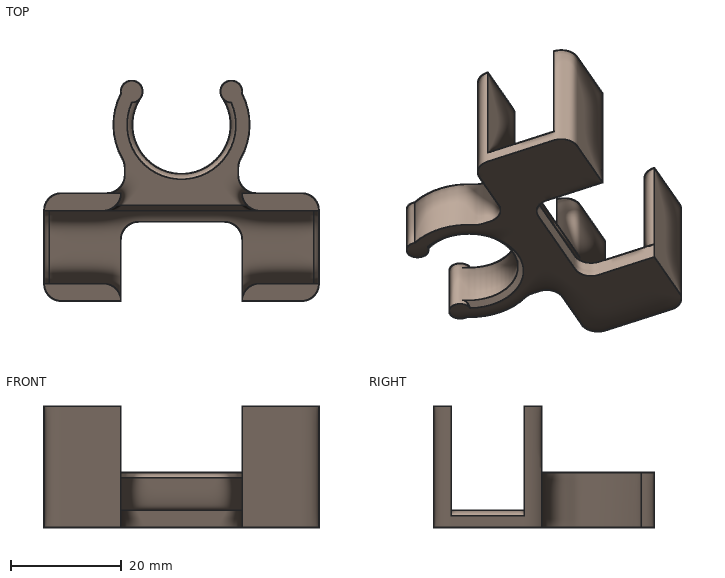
import cadquery as cq
import math

length = 49.8
depth = 19.55
overall_depth = 39.95
height = 22.0
wall = 3.2
corner_radius = 3.2
post_end_flat = 0.005
floor_height = 3.2
edge_chamfer = 1.0
slot_width = 21.9
slot_depth = 14.35

clip_height = 10.0
ring_y = 31.9
inner_radius = 8.85
outer_radius = 12.35
tip_radius = 2.0
tip_x = 9.0
tip_y = overall_depth - tip_radius
neck_width = 20.6


def block(x_size, y_size, z_size, x_min, y_min):
    """Box standing on Z = 0 with the given lower corner."""
    return cq.Workplane("XY").box(x_size, y_size, z_size, centered=False).translate((x_min, y_min, 0))


def make_floor():
    """U-shaped floor with chamfered ends and a rounded front slot."""
    floor = block(length, depth, floor_height, -length / 2, 0)
    floor = floor.faces(">Z").edges("|Y").chamfer(edge_chamfer)
    slot = block(slot_width, slot_depth, floor_height, -slot_width / 2, 0)
    return floor.cut(slot.edges("|Z and >Y").fillet(corner_radius))


def make_back_bar():
    """Low bar between the rear walls, chamfered along its front top edge."""
    bar = block(slot_width + 2 * corner_radius, wall, clip_height,
                -slot_width / 2 - corner_radius, depth - wall)
    return bar.faces(">Z").edges("<Y").chamfer(edge_chamfer)


def make_post(side, y_min, inner_face):
    """Upright wall whose slot end is rounded toward the cradle interior."""
    post_length = (length - slot_width) / 2
    x_min = slot_width / 2 if side > 0 else -length / 2
    post = block(post_length, wall, height, x_min, y_min)
    slot_end = "<X" if side > 0 else ">X"
    end_radius = wall - post_end_flat
    return post.edges(f"|Z and {slot_end} and {inner_face}").fillet(end_radius)


def make_clip():
    """Open ring on a filleted neck, with a round bead on each arm tip."""
    clip = cq.Workplane("XY").center(0, ring_y).circle(outer_radius).extrude(clip_height)
    neck_start = depth - wall / 2
    clip = clip.union(block(neck_width, ring_y - neck_start, clip_height, -neck_width / 2, neck_start))

    junction_y = ring_y - math.sqrt(outer_radius**2 - (neck_width / 2)**2)
    for side in (-1, 1):
        junction = cq.selectors.NearestToPointSelector((side * neck_width / 2, junction_y, clip_height / 2))
        clip = clip.edges(junction).fillet(corner_radius)

    bore_profile = [
        (0, 0),
        (inner_radius + edge_chamfer, 0),
        (inner_radius, edge_chamfer),
        (inner_radius, clip_height - edge_chamfer),
        (inner_radius + edge_chamfer, clip_height),
        (0, clip_height),
    ]
    bore = cq.Workplane("XZ").polyline(bore_profile).close().revolve(360, (0, 0, 0), (0, 1, 0))
    clip = clip.cut(bore.translate((0, ring_y, 0)))

    reach = 2 * outer_radius / math.hypot(tip_x, tip_y - ring_y)
    mouth_x = reach * tip_x
    mouth_y = ring_y + reach * (tip_y - ring_y)
    mouth_top = ring_y + 2 * outer_radius
    mouth = (
        cq.Workplane("XY")
        .polyline([(0, ring_y), (mouth_x, mouth_y), (0, mouth_top), (-mouth_x, mouth_y)])
        .close()
        .extrude(clip_height)
    )
    tips = cq.Workplane("XY").pushPoints([(-tip_x, tip_y), (tip_x, tip_y)])
    return clip.cut(mouth).union(tips.circle(tip_radius).extrude(clip_height))


def make_neck_fillets():
    """Concave webs between the neck sides and the back of the cradle."""
    webs = cq.Workplane("XY")
    for side in (-1, 1):
        x_neck = side * neck_width / 2
        x_end = x_neck + side * corner_radius
        bulge = corner_radius * (1 - math.sqrt(0.5))
        web = (
            cq.Workplane("XY")
            .moveTo(x_neck, depth + corner_radius)
            .threePointArc((x_neck + side * bulge, depth + bulge), (x_end, depth))
            .lineTo(x_end, depth - wall / 2)
            .lineTo(x_neck, depth - wall / 2)
            .close()
            .extrude(clip_height)
        )
        webs = webs.add(web)
    return webs.combine()


cradle = make_floor().union(make_back_bar())
for side in (-1, 1):
    cradle = cradle.union(make_post(side, 0, ">Y"))
    cradle = cradle.union(make_post(side, depth - wall, "<Y"))

envelope = block(length, depth, height, -length / 2, 0).edges("|Z").fillet(corner_radius)
result = cradle.intersect(envelope).union(make_clip()).union(make_neck_fillets())